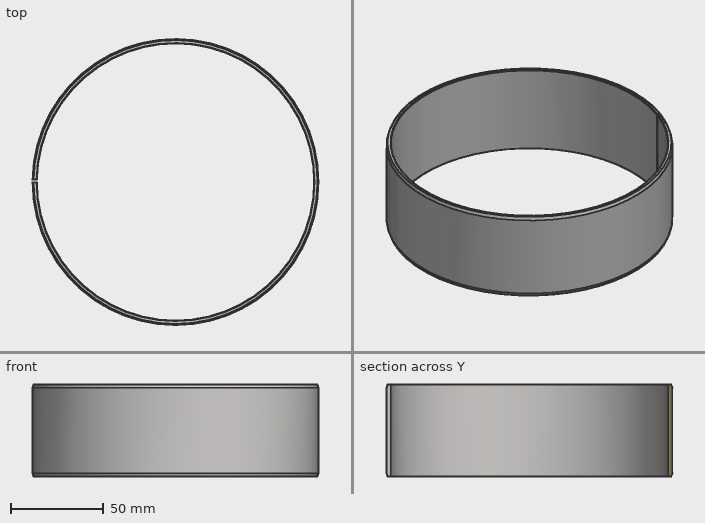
import cadquery as cq
import math

outer_diameter = 155.0
wall = 2.5
length = 50.0
slit_width = 1.2

outer_chamfer_length = 1.9
outer_chamfer_angle = 20.0
inner_chamfer = 0.3

outer_radius = outer_diameter / 2
inner_radius = outer_radius - wall
outer_chamfer_depth = outer_chamfer_length * math.tan(math.radians(outer_chamfer_angle))


def make_sleeve():
    """Revolve the chamfered wall section about Z, centred on the origin."""
    half_length = length / 2
    section = [
        (inner_radius, -half_length + inner_chamfer),
        (inner_radius + inner_chamfer, -half_length),
        (outer_radius - outer_chamfer_depth, -half_length),
        (outer_radius, -half_length + outer_chamfer_length),
        (outer_radius, half_length - outer_chamfer_length),
        (outer_radius - outer_chamfer_depth, half_length),
        (inner_radius + inner_chamfer, half_length),
        (inner_radius, half_length - inner_chamfer),
    ]
    return cq.Workplane("XZ").polyline(section).close().revolve(360, (0, 0, 0), (0, 1, 0))


def make_slit():
    """Block through the -X wall, with one face on the XZ plane and the other on its +Y side."""
    return cq.Workplane("XY").box(outer_diameter, slit_width, length).translate((-outer_radius, slit_width / 2, 0))


result = make_sleeve().cut(make_slit())